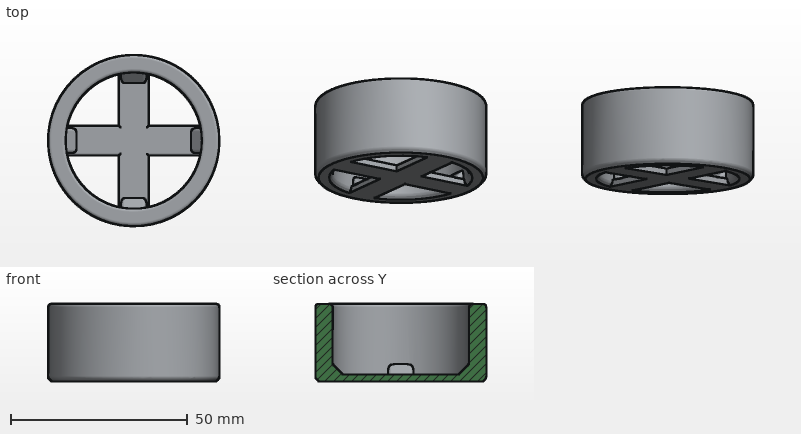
import cadquery as cq

outer_diameter = 48.5
bore_diameter = 38.5
height = 22.0
rim_fillet = 1.0
bottom_chamfer = 1.0
bottom_blend = 1.0
shoulder_window = 0.1

arm_width = 8.5
floor_thickness = 2.0
arm_edge_fillet = 0.65

gusset_count = 4
gusset_width = 7.1
gusset_leg = 3.0
gusset_edge_fillet = 1.0

outer_radius = outer_diameter / 2
bore_radius = bore_diameter / 2
wall_middle_radius = (outer_radius + bore_radius) / 2


def make_ring():
    """Tube with rounded top rims and blended chamfers on both bottom rims."""
    tube = cq.Workplane("XY").circle(outer_radius).circle(bore_radius).extrude(height)
    tube = tube.faces("<Z").chamfer(bottom_chamfer)
    shoulders = cq.selectors.BoxSelector(
        (-shoulder_window, -shoulder_window, bottom_chamfer - shoulder_window),
        (shoulder_window, shoulder_window, bottom_chamfer + shoulder_window),
    )
    tube = tube.edges(shoulders).fillet(bottom_blend)
    return tube.faces(">Z").edges().fillet(rim_fillet)


def make_cross():
    """Two crossing bars with rounded top edges, ending inside the ring wall."""
    bar_length = 2 * wall_middle_radius
    centered = (True, True, False)
    bar_x = cq.Workplane("XY").box(bar_length, arm_width, floor_thickness, centered=centered)
    bar_y = cq.Workplane("XY").box(arm_width, bar_length, floor_thickness, centered=centered)
    return bar_x.union(bar_y).faces(">Z").edges().fillet(arm_edge_fillet)


def make_gusset():
    """45 degree wedge on the +X arm, with rounded long edges on its slope."""
    toe_radius = bore_radius - gusset_leg
    run = wall_middle_radius - toe_radius
    wedge = (
        cq.Workplane("XZ")
        .moveTo(toe_radius, floor_thickness)
        .lineTo(wall_middle_radius, floor_thickness + run)
        .lineTo(wall_middle_radius, 0)
        .lineTo(toe_radius, 0)
        .close()
        .extrude(gusset_width / 2, both=True)
    )
    slope_middle_x = toe_radius + run / 2
    slope_middle_z = floor_thickness + run / 2
    for side in (-1, 1):
        edge_middle = (slope_middle_x, side * gusset_width / 2, slope_middle_z)
        slope_edge = cq.selectors.NearestToPointSelector(edge_middle)
        wedge = wedge.edges(slope_edge).fillet(gusset_edge_fillet)
    return wedge


result = make_ring().union(make_cross())
gusset = make_gusset()
for index in range(gusset_count):
    angle = index * 360 / gusset_count
    result = result.union(gusset.rotate((0, 0, 0), (0, 0, 1), angle))